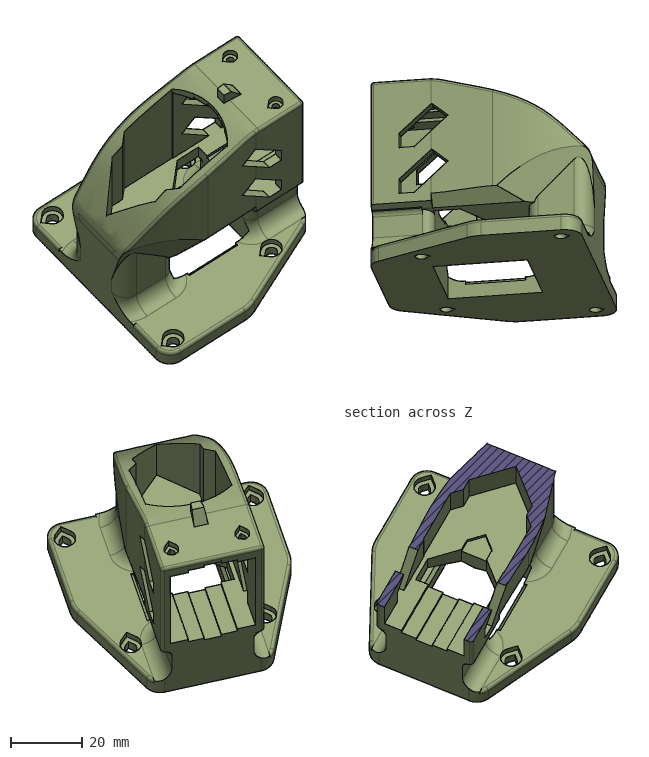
import cadquery as cq
import math

WIDTH = 64.0
DEPTH = 62.35
HEIGHT = 59.7
REACH = 192.0
OVERLAP = 0.65
EDGE_ROUND = 0.9

PLATE_THICKNESS = 5.05
PLATE_EDGE_ROUND = 1.0
PLATE_FRONT_ROUND = 5.0
PLATE_SIDE_ROUND = 10.0
TAPER_START_Y = 30.0
PLATE_BACK_HALF = 17.2
PLATE_OPENING_HALF = 12.0
OPENING_CHAMFER = 1.0

COLUMN_HALF = 12.0
FRONT_COLUMN_DEPTH = 18.25
FRONT_COLUMN_TOP = 30.7
REAR_COLUMN_TOP = 19.2
COLUMN_FRONT_ROUND = 5.0
COLUMN_INNER_ROUND = 3.0
FOOT_ROUND = 4.85

BOX_FRONT_Y = 45.1
BOX_HALF = 15.05
BULGE_HALF = 15.6
BULGE_Y = 27.5
NOSE_SIDE_RADIUS = 96.0
ROOF_Z = 56.05
CROWN_START_Y = 46.35
NOSE_Z = 28.35
CROWN_POINTS = [(2.9, 34.8), (13.0, 44.15), (29.0, 51.65), (39.7, 54.8)]
KEEL_Z = 14.85
KEEL_SLOPE = 0.22
CHIN_HALF = 12.5
CHIN_TOP_Z = 21.75
BOX_CHIN_Z = 19.1
UNDERSIDE_ROUND = 1.3
FLANK_Z = 16.3
FLANK_SLOPE = 0.27

CAVITY_HALF = 12.35
FLOOR_Z = 21.6
CEILING_Z = 52.1
CHANNELS = [(7.1, 0.95), (2.5, 1.7)]
OPENING_HALF = 12.55
OPENING_NECK_HALF = 9.8
OPENING_SHOULDER_Y = 19.85
OPENING_NECK_Y = 13.45
OPENING_BACK_Y = 37.0
OPENING_CREST_Y = 41.55
FLOOR_HOLE_HALF = 11.0
FLOOR_HOLE_FRONT_HALF = 3.9
FLOOR_HOLE_FRONT_Y = 30.4
RECESS_STRAIGHT = 3.5
RECESS_DEPTH = 0.95

WINDOW_PITCH = 13.9
WINDOW_COUNT = 2
WINDOW_CORNERS = [(54.2, 21.6), (49.9, 21.6), (40.3, 30.45), (44.9, 34.4), (54.2, 26.0)]

PLATE_SCREWS = [(27.3, 5.95), (19.65, 47.05)]
PLATE_HOLE_RADIUS = 1.7
PLATE_HEAD_RADIUS = 3.0
PLATE_HEAD_DEPTH = 2.0
ROOF_SCREW = (10.3, 55.95)
ROOF_HOLE_RADIUS = 1.1
ROOF_HEAD_RADIUS = 2.05
ROOF_HEAD_DEPTH = 2.0
HEAD_CLEARANCE = 6.4

CATCH_BACK_Y = 50.1
CATCH_CREST_Y = 46.8
CATCH_FRONT_Y = 44.35
CATCH_BACK_HALF = 2.05
CATCH_FRONT_HALF = 1.5


def block(half_width, y_front, y_back, z_low, z_high):
    """Box centred on X = 0."""
    size = (2 * half_width, y_back - y_front, z_high - z_low)
    return cq.Workplane("XY").box(*size, centered=(True, False, False)).translate((0, y_front, z_low))


def mirrored_outline(half, z_low, z_high):
    """Prism whose plan is the given right-hand (X, Y) points and their mirror images."""
    other_half = [(-x, y) for x, y in reversed(half)]
    outline = cq.Workplane("XY", origin=(0, 0, z_low)).polyline(half + other_half).close()
    return outline.extrude(z_high - z_low)


def teardrop(x, y, radius, z_low, z_high):
    """Vertical hole with a 90 degree point towards the front."""
    tangent = radius / math.sqrt(2)
    outline = (
        cq.Workplane("XY", origin=(x, y, z_low))
        .moveTo(-tangent, -tangent)
        .threePointArc((0, radius), (tangent, -tangent))
        .lineTo(0, -2 * tangent)
        .close()
    )
    return outline.extrude(z_high - z_low)


def plate_outline(height):
    half = [(WIDTH / 2, 0), (WIDTH / 2, TAPER_START_Y), (PLATE_BACK_HALF, DEPTH)]
    prism = mirrored_outline(half, 0, height)
    prism = prism.edges("|Z and <Y").fillet(PLATE_FRONT_ROUND)
    prism = prism.edges("|Z and >Y").fillet(PLATE_FRONT_ROUND)
    middle = cq.selectors.BoxSelector(
        (-WIDTH, TAPER_START_Y - OVERLAP, -OVERLAP),
        (WIDTH, TAPER_START_Y + OVERLAP, height + OVERLAP),
    )
    return prism.edges("|Z").edges(middle).fillet(PLATE_SIDE_ROUND)


def base_plate():
    return plate_outline(PLATE_THICKNESS).faces(">Z").edges().fillet(PLATE_EDGE_ROUND)


def plate_opening():
    """Opening between the columns, with chamfered upper edges along its sides."""
    wide_half = PLATE_OPENING_HALF + OPENING_CHAMFER
    chamfer_low_z = PLATE_THICKNESS - OPENING_CHAMFER
    outline = [
        (-PLATE_OPENING_HALF, chamfer_low_z),
        (PLATE_OPENING_HALF, chamfer_low_z),
        (wide_half, PLATE_THICKNESS),
        (-wide_half, PLATE_THICKNESS),
    ]
    y_front = FRONT_COLUMN_DEPTH + FOOT_ROUND
    y_back = BOX_FRONT_Y - FOOT_ROUND
    chamfer = cq.Workplane("XZ", origin=(0, y_back, 0)).polyline(outline).close().extrude(y_back - y_front)
    passage = block(PLATE_OPENING_HALF, FRONT_COLUMN_DEPTH, BOX_FRONT_Y, 0, PLATE_THICKNESS + FOOT_ROUND)
    return passage.union(chamfer)


def columns():
    """Both columns with flared feet, trimmed to the plate outline and the crown."""
    front = block(COLUMN_HALF, 0, FRONT_COLUMN_DEPTH, 0, FRONT_COLUMN_TOP)
    front = front.edges("|Z and <Y").fillet(COLUMN_FRONT_ROUND)
    front = front.edges("|Z and >Y").fillet(COLUMN_INNER_ROUND)
    beyond_y = DEPTH + WIDTH / 2
    rear = block(COLUMN_HALF, BOX_FRONT_Y, beyond_y, 0, REAR_COLUMN_TOP)
    rear = rear.edges("|Z and <Y").fillet(COLUMN_INNER_ROUND)
    slab = block(WIDTH, -WIDTH, beyond_y, 0, PLATE_THICKNESS)
    near_foot = cq.selectors.BoxSelector(
        (-COLUMN_HALF - OVERLAP, -OVERLAP, PLATE_THICKNESS - OVERLAP),
        (COLUMN_HALF + OVERLAP, beyond_y, PLATE_THICKNESS + OVERLAP),
    )
    flared = slab.union(front).union(rear)
    flared = flared.edges(near_foot).fillet(FOOT_ROUND)
    trimmed = flared.intersect(block(COLUMN_HALF + FOOT_ROUND, 0, DEPTH, 0, HEIGHT))
    return trimmed.intersect(plate_outline(HEIGHT)).intersect(crown_prism())


def crown_prism():
    """Side profile of the head: flat roof, curved crown and upright front."""
    profile = (
        cq.Workplane("YZ", origin=(-WIDTH / 2, 0, 0))
        .moveTo(DEPTH, 0)
        .lineTo(DEPTH, ROOF_Z)
        .lineTo(CROWN_START_Y, ROOF_Z)
        .spline(CROWN_POINTS[::-1] + [(0, NOSE_Z)], tangents=[(-1, 0), (0, -1)], includeCurrent=True)
        .lineTo(0, 0)
        .close()
    )
    return profile.extrude(WIDTH)


def nose_side_x(y):
    """Half width of the rounded nose at a given Y."""
    return BULGE_HALF - NOSE_SIDE_RADIUS + math.sqrt(NOSE_SIDE_RADIUS**2 - (BULGE_Y - y) ** 2)


def plan_prism():
    """Plan of the head: straight box, slight bulge and narrowing nose."""
    outline = (
        cq.Workplane("XY")
        .moveTo(nose_side_x(0), 0)
        .threePointArc((nose_side_x(BULGE_Y / 2), BULGE_Y / 2), (BULGE_HALF, BULGE_Y))
        .spline([(BOX_HALF, BOX_FRONT_Y)], tangents=[(0, 1), (0, 1)], includeCurrent=True)
        .lineTo(BOX_HALF, DEPTH)
        .lineTo(0, DEPTH)
        .lineTo(0, 0)
        .close()
        .extrude(HEIGHT)
    )
    return outline.union(outline.mirror("YZ"))


def keel_prism(chin_z, y_front, y_back):
    """Cross-section of the head above its V-shaped underside."""
    side = WIDTH / 2
    chin_low_z = KEEL_Z + KEEL_SLOPE * CHIN_HALF
    right = [(0, KEEL_Z), (CHIN_HALF, chin_low_z), (BULGE_HALF, chin_z), (side, chin_z), (side, HEIGHT)]
    left = [(-x, z) for x, z in reversed(right[1:])]
    outline = cq.Workplane("XZ", origin=(0, y_back, 0)).polyline(right + left).close()
    return outline.extrude(y_back - y_front)


def flank_cutter():
    """Half-space outside the plane that draws the nose in towards the front and below."""
    plane = cq.Plane(
        origin=(COLUMN_HALF, FRONT_COLUMN_DEPTH, FLANK_Z),
        xDir=(0, 1, -1),
        normal=(1, -FLANK_SLOPE, -FLANK_SLOPE),
    )
    return cq.Workplane(plane).rect(REACH, REACH).extrude(WIDTH)


def head():
    shell = crown_prism().intersect(plan_prism())
    roof = cq.selectors.BoxSelector((-WIDTH, -OVERLAP, NOSE_Z + OVERLAP), (WIDTH, DEPTH + OVERLAP, HEIGHT))
    roof_edges = shell.edges(roof).edges("(not |X) or >Y")
    shell = roof_edges.add(shell.edges("|Z and >Y")).fillet(EDGE_ROUND)
    nose = shell.intersect(keel_prism(CHIN_TOP_Z, 0, BOX_FRONT_Y))
    box = shell.intersect(keel_prism(BOX_CHIN_Z, BOX_FRONT_Y, DEPTH))
    cutter = flank_cutter()
    return nose.union(box).cut(cutter).cut(cutter.mirror("YZ"))


def rear_coves():
    """Concave rounds where the sides of the rear column meet the underside of the head."""
    joint_z = KEEL_Z + KEEL_SLOPE * COLUMN_HALF
    outer_x = COLUMN_HALF + UNDERSIDE_ROUND
    bow = UNDERSIDE_ROUND * (1 - math.sqrt(0.5))
    outline = (
        cq.Workplane("XZ", origin=(0, DEPTH, 0))
        .moveTo(COLUMN_HALF, joint_z - UNDERSIDE_ROUND)
        .threePointArc((COLUMN_HALF + bow, joint_z - bow), (outer_x, KEEL_Z + KEEL_SLOPE * outer_x))
        .lineTo(COLUMN_HALF - OVERLAP, joint_z)
        .lineTo(COLUMN_HALF - OVERLAP, joint_z - UNDERSIDE_ROUND)
        .close()
    )
    cove = outline.extrude(DEPTH - BOX_FRONT_Y - COLUMN_INNER_ROUND)
    return cove.union(cove.mirror("YZ"))


def roof_opening():
    """Opening through the roof, pointed at the front and arched at the back."""
    shoulder_run = OPENING_HALF - OPENING_NECK_HALF
    right = [
        (OPENING_NECK_HALF, OPENING_NECK_Y),
        (OPENING_NECK_HALF, OPENING_SHOULDER_Y - shoulder_run),
        (OPENING_HALF, OPENING_SHOULDER_Y),
        (OPENING_HALF, OPENING_BACK_Y),
    ]
    left = [(-x, y) for x, y in reversed(right)]
    outline = cq.Workplane("XY", origin=(0, 0, FLOOR_Z)).moveTo(0, OPENING_NECK_Y - OPENING_NECK_HALF)
    for x, y in right:
        outline = outline.lineTo(x, y)
    outline = outline.threePointArc((0, OPENING_CREST_Y), left[0])
    for x, y in left[1:]:
        outline = outline.lineTo(x, y)
    return outline.close().extrude(HEIGHT)


def cavity():
    space = block(CAVITY_HALF, OPENING_BACK_Y, REACH, FLOOR_Z, CEILING_Z)
    for half_width, depth in CHANNELS:
        space = space.union(block(half_width, BOX_FRONT_Y, REACH, FLOOR_Z - depth, CEILING_Z))
        space = space.union(block(half_width, OPENING_BACK_Y, REACH, CEILING_Z, CEILING_Z + depth))
    return space.union(roof_opening())


def floor_hole():
    """Hole in the cavity floor that widens at 45 degrees towards the back."""
    flare_end_y = FLOOR_HOLE_FRONT_Y + FLOOR_HOLE_HALF - FLOOR_HOLE_FRONT_HALF
    half = [
        (FLOOR_HOLE_FRONT_HALF, FLOOR_HOLE_FRONT_Y),
        (FLOOR_HOLE_HALF, flare_end_y),
        (FLOOR_HOLE_HALF, BOX_FRONT_Y),
    ]
    return mirrored_outline(half, 0, CEILING_Z)


def floor_recess():
    """Shallow pointed recess in front of the floor hole."""
    straight_end_y = FLOOR_HOLE_FRONT_Y - RECESS_STRAIGHT
    half = [
        (0, straight_end_y - FLOOR_HOLE_FRONT_HALF),
        (FLOOR_HOLE_FRONT_HALF, straight_end_y),
        (FLOOR_HOLE_FRONT_HALF, FLOOR_HOLE_FRONT_Y),
    ]
    left = [(-x, y) for x, y in reversed(half[1:])]
    outline = cq.Workplane("XY", origin=(0, 0, FLOOR_Z - RECESS_DEPTH)).polyline(half + left).close()
    return outline.extrude(CEILING_Z - FLOOR_Z)


def side_window(level):
    corners = [(y, z + level * WINDOW_PITCH) for y, z in WINDOW_CORNERS]
    return cq.Workplane("YZ", origin=(-WIDTH / 2, 0, 0)).polyline(corners).close().extrude(WIDTH)


def plate_screw_hole(x, y):
    hole = teardrop(x, y, PLATE_HOLE_RADIUS, 0, PLATE_THICKNESS)
    seat_z = PLATE_THICKNESS - PLATE_HEAD_DEPTH
    return hole.union(teardrop(x, y, PLATE_HEAD_RADIUS, seat_z, PLATE_THICKNESS + HEAD_CLEARANCE))


def roof_screw_hole(x, y):
    hole = teardrop(x, y, ROOF_HOLE_RADIUS, CEILING_Z, ROOF_Z)
    return hole.union(teardrop(x, y, ROOF_HEAD_RADIUS, ROOF_Z - ROOF_HEAD_DEPTH, HEIGHT))


def catch():
    """Ramped, dovetail-shaped catch on the roof."""
    half = [(CATCH_FRONT_HALF, CATCH_FRONT_Y), (CATCH_BACK_HALF, CATCH_BACK_Y)]
    plan = mirrored_outline(half, CEILING_Z, HEIGHT)
    profile = [
        (CATCH_FRONT_Y, ROOF_Z - OVERLAP),
        (CATCH_FRONT_Y, HEIGHT),
        (CATCH_CREST_Y, HEIGHT),
        (CATCH_BACK_Y, ROOF_Z),
        (CATCH_BACK_Y, ROOF_Z - OVERLAP),
    ]
    ramp = cq.Workplane("YZ", origin=(-WIDTH / 2, 0, 0)).polyline(profile).close().extrude(WIDTH)
    return plan.intersect(ramp)


result = base_plate().union(columns()).union(head()).union(rear_coves())
result = result.cut(plate_opening())
result = result.cut(cavity()).cut(floor_hole()).cut(floor_recess()).union(catch())
for level in range(WINDOW_COUNT):
    result = result.cut(side_window(level))
for side in (-1, 1):
    for x, y in PLATE_SCREWS:
        result = result.cut(plate_screw_hole(side * x, y))
    result = result.cut(roof_screw_hole(side * ROOF_SCREW[0], ROOF_SCREW[1]))